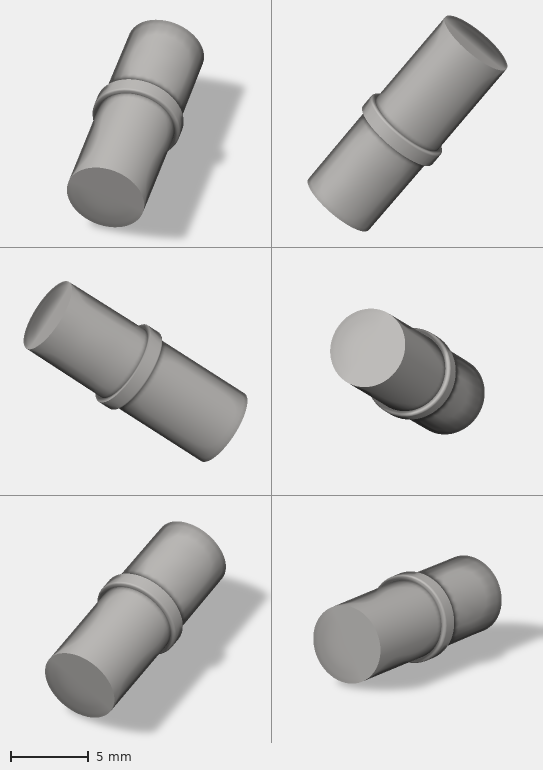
import cadquery as cq

total_length = 14.22
front_length = 7.11
collar_length = 1.0
rear_length = total_length - front_length - collar_length

shank_diameter = 5.18
collar_diameter = 5.85
rear_end_diameter = 5.09
collar_fillet = 0.13

collar = (
    cq.Workplane("XZ")
    .circle(collar_diameter / 2)
    .extrude(collar_length)
    .faces("<Y")
    .edges()
    .fillet(collar_fillet)
)

front_shank = (
    cq.Workplane("XZ")
    .circle(shank_diameter / 2)
    .extrude(collar_length + front_length)
)

rear_shank = (
    cq.Workplane("XZ")
    .circle(shank_diameter / 2)
    .workplane(offset=-rear_length)
    .circle(rear_end_diameter / 2)
    .loft(ruled=True)
)

result = collar.union(front_shank).union(rear_shank)